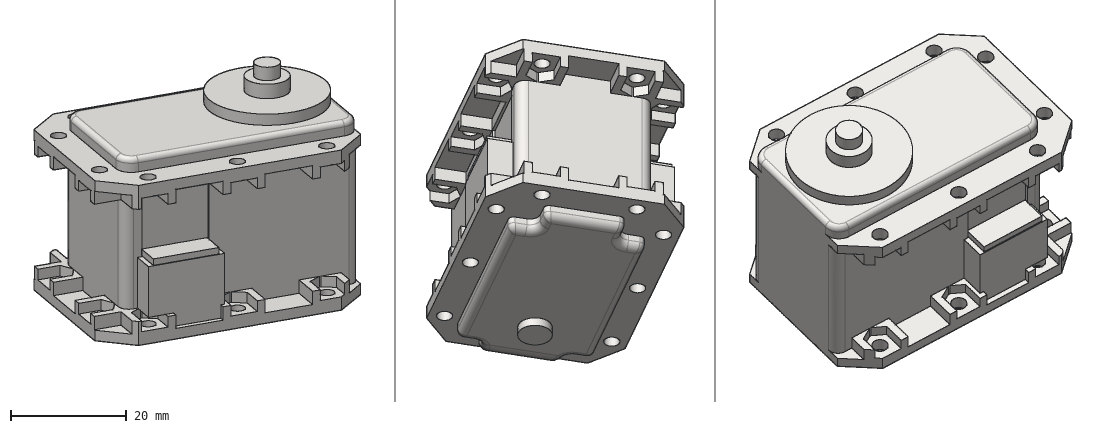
import cadquery as cq
import math


BODY_WIDTH = 24.4
BODY_LENGTH = 45.0
BODY_HEIGHT = 35.4
BODY_REAR = 12.0
BODY_CENTER_Y = BODY_REAR - BODY_LENGTH / 2
SIDE_X = BODY_WIDTH / 2
BODY_CORNER_RADIUS = 2.0
LID_CORNER_RADIUS = 2.9
LID_FILLET = 1.0

COVER_FILLET = 1.5
REAR_RADIUS = 5.5
NOTCH_SIZE = 5.0
NOTCH_INNER_RADIUS = 1.9
NOTCH_OUTER_RADIUS = 1.0

FLANGE_WIDTH = 35.6
FLANGE_LENGTH = 50.6
FLANGE_FRONT = BODY_REAR - FLANGE_LENGTH
FLANGE_THICKNESS = 4.5
FLANGE_INSET = 2.7
FLANGE_CORNER_X = 5.1
FLANGE_CORNER_Y = 6.0
FLANGE_WEB = 2.0
FLANGE_CENTER_Y = BODY_REAR - FLANGE_LENGTH / 2
FLANGE_TOP = FLANGE_INSET + FLANGE_THICKNESS
WEB_TOP = FLANGE_INSET + FLANGE_WEB

SCREW_DIAMETER = 2.8
SCREW_EDGE_DISTANCE = 2.8
SCREW_PITCH = 17.0
REAR_SCREW_Y = 4.5
BOSS_WIDTH = 8.0
NUT_FLATS = 5.0
NUT_DEPTH = 2.0
SIDE_SCREW_X = FLANGE_WIDTH / 2 - SCREW_EDGE_DISTANCE
FRONT_SCREW_Y = FLANGE_FRONT + SCREW_EDGE_DISTANCE
SIDE_SCREW_YS = [REAR_SCREW_Y - i * SCREW_PITCH for i in range(3)]
FRONT_SCREW_XS = [-SCREW_PITCH / 2, SCREW_PITCH / 2]

CONNECTOR_Y = -23.0
CONNECTOR_WIDTH = 14.5
CONNECTOR_TOP = 16.7
CONNECTOR_X = 16.8
PLUG_WIDTH = 12.5
PLUG_TOP = 17.9
PLUG_X = 16.6
RECESS_WIDTH = 12.8
RECESS_DEPTH = 0.5

SHAFT_STEPS = [(10.1, 0.8), (22.0, 2.1), (8.0, 2.7), (4.7, 2.5)]
PIVOT_DIAMETER = 6.0
PIVOT_HEIGHT = 1.6


def block(x_size, y_size, z_size, x, y, z):
    """Box centred on (x, y) with its underside at z."""
    return cq.Workplane("XY").box(x_size, y_size, z_size, (True, True, False)).translate((x, y, z))


def make_cover():
    """Bottom of the housing, with an arched rear end and a notch in each corner."""
    arch_length = math.sqrt(REAR_RADIUS**2 - (REAR_RADIUS - FLANGE_INSET) ** 2)
    overhang = REAR_RADIUS - arch_length
    blank_length = BODY_LENGTH + overhang
    blank_height = REAR_RADIUS + 1
    cover = block(BODY_WIDTH, blank_length, blank_height, 0, BODY_CENTER_Y + overhang / 2, 0)
    cover = cover.edges("<Z and >Y").fillet(REAR_RADIUS)

    for side in (-1, 1):
        for end_y, size_y in (
            (BODY_REAR - BODY_LENGTH, NOTCH_SIZE),
            (BODY_REAR + overhang, NOTCH_SIZE + overhang),
        ):
            notch = block(2 * NOTCH_SIZE, 2 * size_y, blank_height, side * SIDE_X, end_y, 0)
            cover = cover.cut(notch.edges("|Z").fillet(NOTCH_INNER_RADIUS))

    cover = cover.faces("<Z").edges().fillet(COVER_FILLET)
    cover = cover.faces("<X or >X or <Y or >Y").edges("|Z").fillet(NOTCH_OUTER_RADIUS)
    return cover.intersect(block(BODY_WIDTH, BODY_LENGTH, FLANGE_INSET, 0, BODY_CENTER_Y, 0))


def make_housing():
    """Main case with rounded upright edges, plus the lid and the bottom cover."""
    core_height = BODY_HEIGHT - 2 * FLANGE_INSET
    core = block(BODY_WIDTH, BODY_LENGTH, core_height, 0, BODY_CENTER_Y, FLANGE_INSET)
    core = core.edges("|Z").fillet(BODY_CORNER_RADIUS)
    lid = block(BODY_WIDTH, BODY_LENGTH, FLANGE_INSET, 0, BODY_CENTER_Y, BODY_HEIGHT - FLANGE_INSET)
    lid = lid.edges("|Z").fillet(LID_CORNER_RADIUS)
    lid = lid.faces(">Z").edges().fillet(LID_FILLET)
    return core.union(lid).union(make_cover())


def make_nut_pocket(x, y, outward_angle):
    """Hexagonal nut seat in the lower flange that opens through the flange edge."""
    nut = cq.Workplane("XY").polygon(6, NUT_FLATS * 2 / math.sqrt(3)).extrude(NUT_DEPTH)
    slot_length = 2 * SCREW_EDGE_DISTANCE
    slot = block(slot_length, NUT_FLATS, NUT_DEPTH, slot_length / 2, 0, 0)
    pocket = nut.union(slot).rotate((0, 0, 0), (0, 0, 1), outward_angle)
    return pocket.translate((x, y, FLANGE_TOP - NUT_DEPTH))


def make_screw_cuts():
    """Screw holes and nut pockets of the lower flange."""
    places = [(x, FRONT_SCREW_Y, -90) for x in FRONT_SCREW_XS]
    for y in SIDE_SCREW_YS:
        places += [(SIDE_SCREW_X, y, 0), (-SIDE_SCREW_X, y, 180)]
    cuts = (
        cq.Workplane("XY")
        .pushPoints([(x, y) for x, y, _ in places])
        .circle(SCREW_DIAMETER / 2)
        .extrude(FLANGE_TOP)
    )
    for x, y, outward_angle in places:
        cuts = cuts.union(make_nut_pocket(x, y, outward_angle))
    return cuts


def make_flange_blank():
    """Lower flange plate with the chamfered corners, before the screw cuts."""
    blank = block(FLANGE_WIDTH, FLANGE_LENGTH, FLANGE_THICKNESS, 0, FLANGE_CENTER_Y, FLANGE_INSET)
    corner = (
        cq.Workplane("XY")
        .polyline([(-FLANGE_CORNER_X, 0), (0, 0), (0, -FLANGE_CORNER_Y)])
        .close()
        .extrude(FLANGE_TOP)
        .translate((FLANGE_WIDTH / 2, FLANGE_LENGTH / 2, 0))
    )
    corners = corner.union(corner.mirror("XZ"))
    corners = corners.union(corners.mirror("YZ"))
    return blank.cut(corners.translate((0, FLANGE_CENTER_Y, 0)))


def make_lower_flange():
    """Flange whose inner face is lowered everywhere except at the screw bosses."""
    edge_x = FLANGE_WIDTH / 2
    gap = SCREW_PITCH - BOSS_WIDTH
    gap_depth = FLANGE_THICKNESS - FLANGE_WEB
    side_reach = edge_x - SIDE_X + BODY_CORNER_RADIUS
    front_reach = BODY_REAR - BODY_LENGTH - FLANGE_FRONT
    corner_x = edge_x - SCREW_PITCH / 2 - BOSS_WIDTH / 2
    corner_y = SIDE_SCREW_YS[-1] - BOSS_WIDTH / 2 - FLANGE_FRONT

    flange = make_flange_blank()
    flange = flange.cut(block(gap, 2 * front_reach, gap_depth, 0, FLANGE_FRONT, WEB_TOP))
    for side in (-1, 1):
        for screw_y in SIDE_SCREW_YS:
            gap_y = screw_y + SCREW_PITCH / 2
            flange = flange.cut(block(2 * side_reach, gap, gap_depth, side * edge_x, gap_y, WEB_TOP))
        corner = block(2 * corner_x, 2 * corner_y, gap_depth, side * edge_x, FLANGE_FRONT, WEB_TOP)
        flange = flange.cut(corner)
    return flange.cut(make_screw_cuts())


def make_recesses():
    """Shallow recesses in both sides of the housing, between the flanges."""
    height = BODY_HEIGHT - 2 * FLANGE_TOP
    width = 2 * RECESS_DEPTH
    left = block(width, RECESS_WIDTH, height, -SIDE_X, CONNECTOR_Y, FLANGE_TOP)
    return left.union(left.mirror("YZ"))


def make_connectors():
    """Connector blocks on both sides, joined through the housing and clear of the screws."""
    shell_height = CONNECTOR_TOP - WEB_TOP
    plug_height = PLUG_TOP - WEB_TOP
    shell = block(2 * CONNECTOR_X, CONNECTOR_WIDTH, shell_height, 0, CONNECTOR_Y, WEB_TOP)
    plug = block(2 * PLUG_X, PLUG_WIDTH, plug_height, 0, CONNECTOR_Y, WEB_TOP)
    return shell.union(plug).cut(make_screw_cuts())


def make_disc(diameter, height, z):
    return cq.Workplane("XY", origin=(0, 0, z)).circle(diameter / 2).extrude(height)


def make_shaft():
    """Pivot below the housing and the stepped output shaft above, on a core that joins them."""
    shaft = make_disc(PIVOT_DIAMETER, PIVOT_HEIGHT + BODY_HEIGHT, -PIVOT_HEIGHT)
    step_z = BODY_HEIGHT
    for diameter, height in SHAFT_STEPS:
        shaft = shaft.union(make_disc(diameter, height, step_z))
        step_z += height
    return shaft


lower_flange = make_lower_flange()
upper_flange = lower_flange.mirror("XY").translate((0, 0, BODY_HEIGHT))

result = (
    make_housing()
    .cut(make_recesses())
    .union(lower_flange)
    .union(upper_flange)
    .union(make_connectors())
    .union(make_shaft())
)